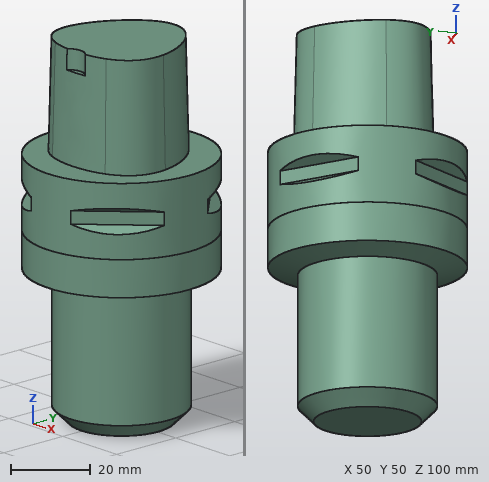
import cadquery as cq
import math

TAPER_HEIGHT = 30.0
TAPER_RATE = 1 / 20
POLYGON_DIAMETER = 35.0
POLYGON_ECCENTRICITY = 1.2
POLYGON_SIDES = 6

FLANGE_DIAMETER = 50.0
FLANGE_LENGTH = 20.0
COLLAR_DIAMETER = 49.98
COLLAR_LENGTH = 10.0
CONE_LENGTH = 2.0
SHANK_DIAMETER = 35.0
SHANK_END_CHAMFER = 4.0
BODY_LENGTH = 70.0

POCKET_COUNT = 4
POCKET_FIRST_ANGLE = 45.0
POCKET_FLOOR_DISTANCE = 22.1
POCKET_FLOOR_HEIGHT = 3.5
POCKET_WALL_ANGLE = 30.0
POCKET_CENTRE_Z = -FLANGE_LENGTH / 2

NOTCH_RADIUS = 4.5
NOTCH_INNER_Y = -13.9
NOTCH_DEPTH = 5.5


def make_body():
    """Revolve the flange, collar, cone and chamfered shank about Z."""
    collar_top = -FLANGE_LENGTH
    collar_bottom = collar_top - COLLAR_LENGTH
    cone_bottom = collar_bottom - CONE_LENGTH
    shank_radius = SHANK_DIAMETER / 2
    return (
        cq.Workplane("XZ")
        .moveTo(0, 0)
        .lineTo(FLANGE_DIAMETER / 2, 0)
        .lineTo(FLANGE_DIAMETER / 2, collar_top)
        .lineTo(COLLAR_DIAMETER / 2, collar_top)
        .lineTo(COLLAR_DIAMETER / 2, collar_bottom)
        .lineTo(shank_radius, cone_bottom)
        .lineTo(shank_radius, -BODY_LENGTH + SHANK_END_CHAMFER)
        .lineTo(shank_radius - SHANK_END_CHAMFER, -BODY_LENGTH)
        .lineTo(0, -BODY_LENGTH)
        .close()
        .revolve(360, (0, 0, 0), (0, 1, 0))
    )


def polygon_point(angle, z):
    """Point on the three-lobed curve at height z; a lobe points along +Y at angle 0."""
    radius = (POLYGON_DIAMETER - TAPER_RATE * z) / 2
    x = radius * math.sin(angle) - POLYGON_ECCENTRICITY * math.sin(2 * angle)
    y = radius * math.cos(angle) + POLYGON_ECCENTRICITY * math.cos(2 * angle)
    return cq.Vector(x, y, z)


def polygon_wire(z):
    """Closed three-lobed outline, split halfway between each lobe and flatter side."""
    points_per_side = 9
    side_angle = 2 * math.pi / POLYGON_SIDES
    step = side_angle / (points_per_side - 1)
    edges = []
    for side in range(POLYGON_SIDES):
        start = (side - 0.5) * side_angle
        points = [polygon_point(start + i * step, z) for i in range(points_per_side)]
        edges.append(cq.Edge.makeSpline(points))
    return cq.Wire.assembleEdges(edges)


def make_taper():
    """Straight-sided taper between the outlines at the flange face and the top."""
    taper = cq.Solid.makeLoft([polygon_wire(0), polygon_wire(TAPER_HEIGHT)], True)
    return cq.Workplane(taper)


def make_notch():
    """Upright cylinder that cuts a shallow round notch into the taper's top edge."""
    return (
        cq.Workplane("XY", origin=(0, 0, TAPER_HEIGHT - NOTCH_DEPTH))
        .center(0, NOTCH_INNER_Y - NOTCH_RADIUS)
        .circle(NOTCH_RADIUS)
        .extrude(NOTCH_DEPTH)
    )


def make_pocket(angle):
    """Straight trapezoidal groove across the flange rim, facing the given angle."""
    depth = FLANGE_DIAMETER / 2 - POCKET_FLOOR_DISTANCE
    floor_half = POCKET_FLOOR_HEIGHT / 2
    mouth_half = floor_half + depth * math.tan(math.radians(POCKET_WALL_ANGLE))
    mouth_distance = FLANGE_DIAMETER / 2
    return (
        cq.Workplane("XZ", origin=(0, 0, POCKET_CENTRE_Z))
        .moveTo(POCKET_FLOOR_DISTANCE, -floor_half)
        .lineTo(mouth_distance, -mouth_half)
        .lineTo(mouth_distance, mouth_half)
        .lineTo(POCKET_FLOOR_DISTANCE, floor_half)
        .close()
        .extrude(FLANGE_DIAMETER / 2, both=True)
        .rotate((0, 0, 0), (0, 0, 1), angle)
    )


result = make_body().union(make_taper().cut(make_notch()))
for index in range(POCKET_COUNT):
    result = result.cut(make_pocket(POCKET_FIRST_ANGLE + index * 360 / POCKET_COUNT))